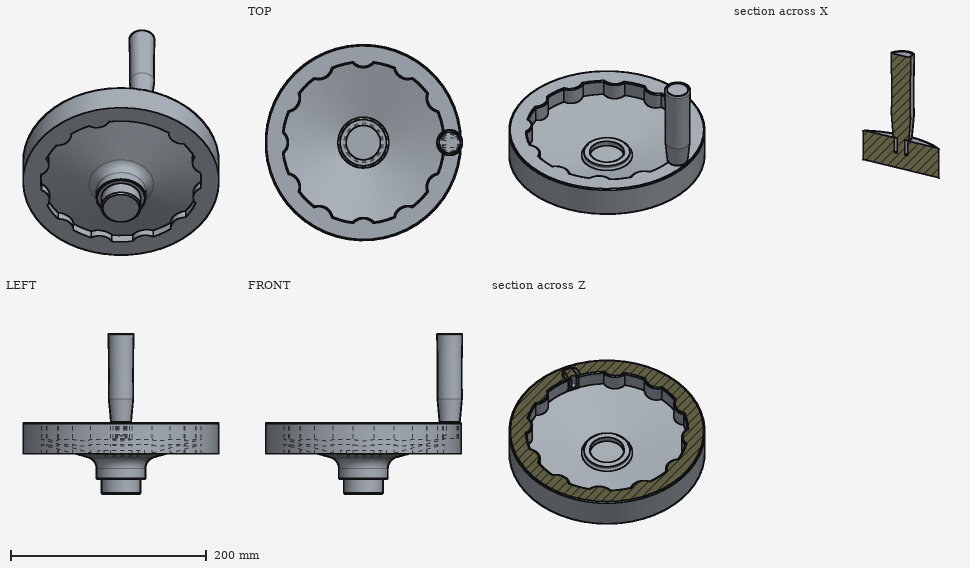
import cadquery as cq
rim_radius = 100.0
rim_bottom_z = 41.5
rim_top_z = 73.5
rim_chamfer = 1.2
inner_wall_radius = 81.9

grip_positions = 12
grip_radius = 14.7
grip_reach_radius = 76.5

web_slope = 0.277
web_top_start_radius = 26.0
web_top_start_z = 41.0
web_bottom_start_radius = 32.8
web_bottom_start_z = 37.6

spigot_radius = 20.1
spigot_height = 15.5
spigot_chamfer = 1.6
hub_radius = 25.1
hub_chamfer = 1.0
hub_flare_z = 26.8
boss_radius = 23.5
boss_top_z = 45.3
boss_fillet = 2.5
hub_bore_radius = 17.5
hub_bore_depth = 5.6

handle_offset = 88.1
handle_top_z = 164.0
handle_waist_z = 97.8
handle_top_radius = 13.0
handle_waist_radius = 12.7
handle_grip_sag = 0.5
handle_foot_radius = 10.5
handle_foot_chamfer = 0.8
handle_top_fillet = 1.2
cap_radius = 10.76
cap_recess = 0.5
socket_radius = 8.7
socket_depth = 15.9
shank_length = 15.3
shank_width = 9.9
groove_radius = 2.8
groove_setback = 1.5
groove_ball_z = 62.5


def web_top_z(radius):
    return web_top_start_z + web_slope * (radius - web_top_start_radius)


def web_bottom_z(radius):
    return web_bottom_start_z + web_slope * (radius - web_bottom_start_radius)


def hub_and_web():
    """Revolve the hub and the dished web out to the inner wall of the rim."""
    web_end = inner_wall_radius + rim_chamfer
    profile = (
        cq.Workplane("XZ")
        .moveTo(0, 0)
        .lineTo(spigot_radius - spigot_chamfer, 0)
        .lineTo(spigot_radius, spigot_chamfer)
        .lineTo(spigot_radius, spigot_height)
        .lineTo(hub_radius - hub_chamfer, spigot_height)
        .lineTo(hub_radius, spigot_height + hub_chamfer)
        .lineTo(hub_radius, hub_flare_z)
        .tangentArcPoint((web_bottom_start_radius, web_bottom_start_z), relative=False)
        .lineTo(web_end, web_bottom_z(web_end))
        .lineTo(web_end, web_top_z(web_end))
        .lineTo(web_top_start_radius, web_top_start_z)
        .radiusArc((boss_radius, web_top_start_z + boss_fillet), boss_fillet)
        .lineTo(boss_radius, boss_top_z)
        .lineTo(hub_bore_radius, boss_top_z)
        .lineTo(hub_bore_radius, boss_top_z - hub_bore_depth)
        .lineTo(0, boss_top_z - hub_bore_depth)
        .close()
    )
    return profile.revolve(360, (0, 0, 0), (0, 1, 0))


def grip():
    """One finger grip at the origin: a post with a chamfered top."""
    height = rim_top_z - rim_bottom_z
    post = cq.Workplane("XY").workplane(offset=rim_bottom_z).circle(grip_radius).extrude(height)
    return post.faces(">Z").chamfer(rim_chamfer)


def rim_opening():
    """The space inside the rim: a disc that flares at the top, less the finger grips."""
    straight_top_z = rim_top_z - rim_chamfer
    flare_radius = inner_wall_radius + rim_chamfer
    opening = (
        cq.Workplane("XZ")
        .moveTo(0, rim_bottom_z)
        .lineTo(inner_wall_radius, rim_bottom_z)
        .lineTo(inner_wall_radius, straight_top_z)
        .lineTo(flare_radius, rim_top_z)
        .lineTo(0, rim_top_z)
        .close()
        .revolve(360, (0, 0, 0), (0, 1, 0))
    )
    grip_offset = grip_reach_radius + grip_radius
    for position in range(1, grip_positions):
        angle = 360 * position / grip_positions
        placed_grip = grip().translate((grip_offset, 0, 0)).rotate((0, 0, 0), (0, 0, 1), angle)
        opening = opening.cut(placed_grip)
    return opening


def rim():
    """Ring with finger grips inside and chamfered top edges."""
    height = rim_top_z - rim_bottom_z
    blank = cq.Workplane("XY").workplane(offset=rim_bottom_z).circle(rim_radius).extrude(height)
    return blank.faces(">Z").chamfer(rim_chamfer).cut(rim_opening())


def socket():
    """Flat-bottomed hole for the handle; it breaks through the inner wall of the rim."""
    hole = cq.Workplane("XY").workplane(offset=rim_top_z - socket_depth).circle(socket_radius)
    return hole.extrude(socket_depth).translate((handle_offset, 0, 0))


def shank():
    """Rectangular shank in the socket, with a ball-ended groove in the side facing the hub."""
    front_x = handle_offset - shank_length / 2
    block = (
        cq.Workplane("XY")
        .workplane(offset=rim_top_z - socket_depth)
        .center(handle_offset, 0)
        .rect(shank_length, shank_width)
        .extrude(socket_depth)
    )
    groove_depth = rim_top_z - groove_ball_z
    groove = (
        cq.Workplane("XY")
        .workplane(offset=groove_ball_z)
        .circle(groove_radius)
        .extrude(groove_depth)
        .union(cq.Workplane("XY").sphere(groove_radius).translate((0, 0, groove_ball_z)))
    )
    return block.cut(groove.translate((front_x + groove_setback, 0, 0)))


def handle():
    """Waisted grip with a slightly recessed cap on top."""
    profile = (
        cq.Workplane("XZ")
        .moveTo(0, rim_top_z)
        .lineTo(handle_foot_radius - handle_foot_chamfer, rim_top_z)
        .lineTo(handle_foot_radius, rim_top_z + handle_foot_chamfer)
        .lineTo(handle_waist_radius, handle_waist_z)
        .sagittaArc((handle_top_radius, handle_top_z - handle_top_fillet), handle_grip_sag)
        .radiusArc((handle_top_radius - handle_top_fillet, handle_top_z), -handle_top_fillet)
        .lineTo(cap_radius, handle_top_z)
        .lineTo(cap_radius, handle_top_z - cap_recess)
        .lineTo(0, handle_top_z - cap_recess)
        .close()
    )
    return profile.revolve(360, (0, 0, 0), (0, 1, 0)).translate((handle_offset, 0, 0))


result = rim().union(hub_and_web()).cut(socket()).union(shank()).union(handle())